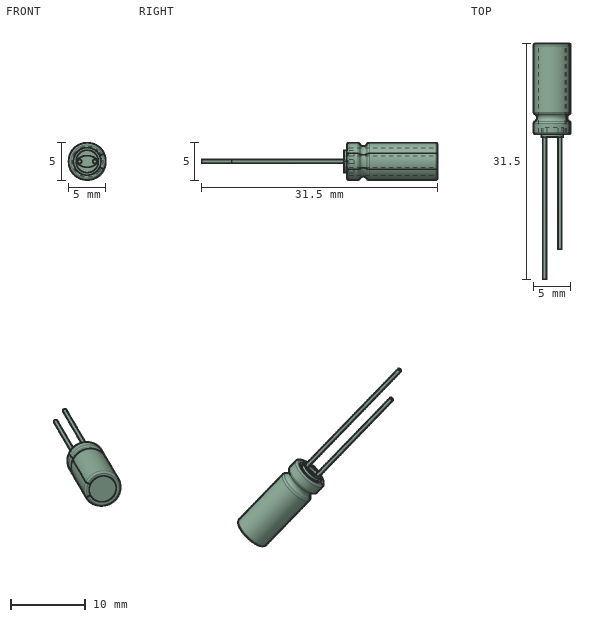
import cadquery as cq
import math

total_length = 31.5
sleeve_length = 12.13
sleeve_radius = 5.0 / 2
bore_radius = 3.7 / 2
end_fillet = 0.28

groove_center = 9.93
groove_half_width = 0.75
groove_depth = 0.457
groove_arc_half_width = 0.47

stripe_angle = 50.0

core_recess = 0.1
plug_radius = 3.0 / 2
plug_end = 12.5
plug_seat_depth = 0.95
plug_bottom = sleeve_length - plug_seat_depth

lens_half_height = 0.8
lens_radius = 1.75
lens_depth = plug_end - sleeve_length + core_recess

lead_radius = 0.55 / 2
lead_offset = 1.0
short_lead_end = total_length - 4.0


def cylinder(radius, start, end, x=0.0):
    """Cylinder along the part axis between two distances from the closed end."""
    return cq.Workplane("XZ", origin=(x, -start, 0)).circle(radius).extrude(end - start)


def sleeve_wall(sweep_angle):
    """Sleeve wall swept about the axis from the XY plane, with the crimp groove and rounded ends."""
    turn = 2 * math.atan(groove_depth / groove_half_width)
    hollow_radius = groove_arc_half_width / math.sin(turn)
    shoulder_radius = (groove_half_width - groove_arc_half_width) / math.sin(turn)
    floor = sleeve_radius - groove_depth
    joint = floor + hollow_radius * (1 - math.cos(turn))
    shoulder_mid_x = sleeve_radius - shoulder_radius * (1 - math.cos(turn / 2))
    shoulder_mid_offset = groove_half_width - shoulder_radius * math.sin(turn / 2)

    corner_radius = sleeve_radius - end_fillet
    corner_mid_inset = end_fillet * (1 - math.sqrt(0.5))
    corner_mid_x = sleeve_radius - corner_mid_inset
    profile = (
        cq.Workplane("XY")
        .moveTo(bore_radius, 0)
        .lineTo(corner_radius, 0)
        .threePointArc((corner_mid_x, -corner_mid_inset), (sleeve_radius, -end_fillet))
        .lineTo(sleeve_radius, -groove_center + groove_half_width)
        .threePointArc(
            (shoulder_mid_x, -groove_center + shoulder_mid_offset),
            (joint, -groove_center + groove_arc_half_width),
        )
        .threePointArc((floor, -groove_center), (joint, -groove_center - groove_arc_half_width))
        .threePointArc(
            (shoulder_mid_x, -groove_center - shoulder_mid_offset),
            (sleeve_radius, -groove_center - groove_half_width),
        )
        .lineTo(sleeve_radius, -sleeve_length + end_fillet)
        .threePointArc(
            (corner_mid_x, -sleeve_length + corner_mid_inset),
            (corner_radius, -sleeve_length),
        )
        .lineTo(bore_radius, -sleeve_length)
        .close()
    )
    return profile.revolve(sweep_angle, (0, 0, 0), (0, 1, 0))


def turned(body, angle):
    """Body rotated about the part axis."""
    return body.rotate((0, 0, 0), (0, 1, 0), angle)


def make_stripe():
    """Sector centred on +X."""
    return turned(sleeve_wall(stripe_angle), -stripe_angle / 2)


def make_sleeve():
    """The rest of the wall, leaving the gap that the stripe fills."""
    return turned(sleeve_wall(360 - stripe_angle), stripe_angle / 2)


def make_core():
    """Cylinder filling the sleeve, slightly recessed at the lead end, with a seat for the plug."""
    core = cylinder(bore_radius, 0, sleeve_length - core_recess)
    return core.cut(cylinder(plug_radius, plug_bottom, plug_end))


def make_plug():
    """Rubber plug with a lens-shaped recess and two lead holes."""
    recess_start = plug_end - lens_depth
    circle_offset = lens_radius - lens_half_height
    face = cq.Workplane("XZ", origin=(0, -recess_start, 0))
    upper_disc = face.center(0, circle_offset).circle(lens_radius).extrude(lens_depth)
    lower_disc = face.center(0, -circle_offset).circle(lens_radius).extrude(lens_depth)
    plug = cylinder(plug_radius, plug_bottom, plug_end).cut(upper_disc.intersect(lower_disc))
    for x in (-lead_offset, lead_offset):
        plug = plug.cut(cylinder(lead_radius, plug_bottom, plug_end, x))
    return plug


def make_lead(x, end):
    """Straight round lead starting at the inner face of the plug."""
    return cylinder(lead_radius, plug_bottom, end, x)


sleeve = make_sleeve()
stripe = make_stripe()
core = make_core()
plug = make_plug()
leads = [
    make_lead(x, end).val()
    for x, end in ((-lead_offset, total_length), (lead_offset, short_lead_end))
]

result = cq.Compound.makeCompound([sleeve.val(), stripe.val(), core.val(), plug.val(), *leads])